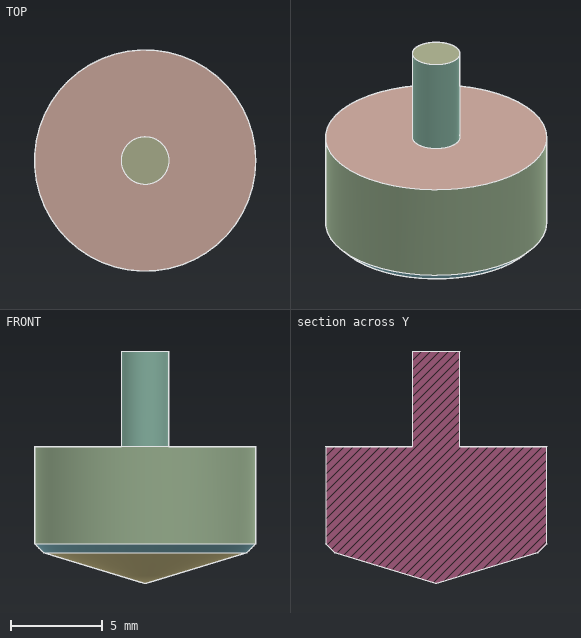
import cadquery as cq

total_height = 12.7
body_diameter = 12.1
pin_diameter = 2.6
pin_length = 5.21
body_side_height = 5.31
chamfer_size = 0.5

body_radius = body_diameter / 2
pin_radius = pin_diameter / 2
cone_radius = body_radius - chamfer_size
body_top = total_height - pin_length
chamfer_top = body_top - body_side_height
cone_top = chamfer_top - chamfer_size

result = (
    cq.Workplane("XZ")
    .moveTo(0, 0)
    .lineTo(cone_radius, cone_top)
    .lineTo(body_radius, chamfer_top)
    .lineTo(body_radius, body_top)
    .lineTo(pin_radius, body_top)
    .lineTo(pin_radius, total_height)
    .lineTo(0, total_height)
    .close()
    .revolve(360, (0, 0, 0), (0, 1, 0))
)